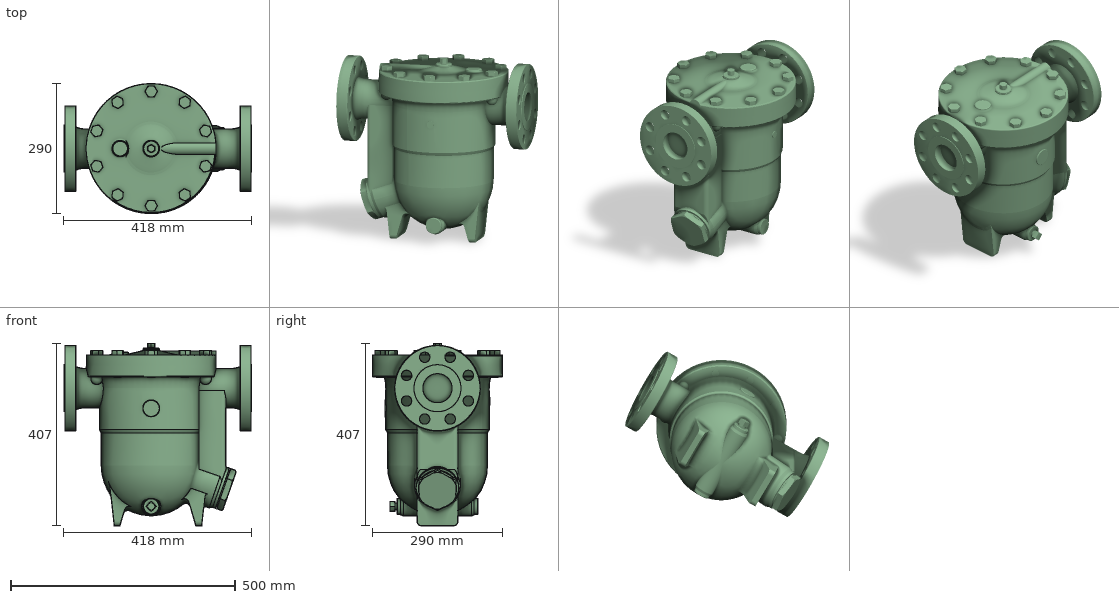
import cadquery as cq
import math


PIPE_AXIS_Z = 307.0
LOWER_RADIUS = 111.5
UPPER_RADIUS = 115.5
NECK_TOP_RADIUS = 119.0
DOME_CENTER_Z = 134.0
STEP_BOTTOM_Z = 207.5
STEP_TOP_Z = 214.5
VESSEL_SEAM_ANGLE = 60.0

COVER_RADIUS = 145.0
FLANGE_BOTTOM_Z = 332.0
SEAM_Z = 357.0
COVER_TOP_Z = 381.5
RIM_FILLET = 2.5

BOLT_COUNT = 10
BOLT_CIRCLE_RADIUS = 127.5
BOLT_DIAMETER = 16.0
BOLT_HEAD_FLATS = 24.0
BOLT_HEAD_HEIGHT = 9.5
BOLT_HEAD_CHAMFER_RADIUS = 12.8
BOLT_HEAD_CHAMFER_DROP = 1.0
BOLT_TIP_LENGTH = 1.5
BLIND_BOLT_ANGLES = (18, 162, 198, 342)
BLIND_POCKET_RADIUS = 13.0
BLIND_POCKET_STRAIGHT = 4.5

CONE_BASE_RADIUS = 59.7
CONE_BLEND_RADIUS = 53.8
CONE_TOP_RADIUS = 20.0
CONE_SLOPE = 0.243
VENT_BOSS_RADIUS = 18.6
VENT_BOSS_TOP_Z = 393.5
PLUG_FLANGE_DIAMETER = 36.0
VENT_FLANGE_TOP_Z = 396.0
VENT_FLANGE_CHAMFER = 1.2
PLUG_NECK_RADIUS = 7.5
PLUG_HEAD_FLATS = 16.0
VENT_HEAD_BOTTOM_Z = 398.0
OVERALL_TOP_Z = 407.0
RIDGE_RADIUS = 14.0
RIDGE_TOP_Z = 390.0

COVER_PAD_X = -69.2
COVER_PAD_BASE_RADIUS = 22.6
COVER_PAD_RADIUS = 18.2
COVER_PAD_TOP_RADIUS = 16.4
COVER_PAD_HEIGHT = 6.0
COVER_PAD_CHAMFER = 1.0

PIPE_RADIUS = 44.0
PIPE_FLARE_RADIUS = 48.0
PIPE_FLARE_LENGTH = 20.0
INLET_FACE_X = -193.9
OVERALL_LENGTH = 418.0
END_FLANGE_RADIUS = 191.0 / 2
END_FLANGE_THICKNESS = 25.0
END_FLANGE_CHAMFER = 1.2
RAISED_FACE_RADIUS = 104.8 / 2
RAISED_FACE_HEIGHT = 1.4
BORE_DIAMETER = 65.0
BORE_DEPTH = 20.0
FLANGE_HOLE_COUNT = 8
FLANGE_HOLE_DIAMETER = 23.0
FLANGE_HOLE_CIRCLE_RADIUS = 74.5

BLOCK_HALF_WIDTH = 45.5
BLOCK_INNER_X = 106.2
BLOCK_OUTER_X = 166.5
BLOCK_TOP_Z = 302.0
BLOCK_CORNER_RADIUS = 9.0

PLUG_TILT = 19.3
PLUG_END_X = 174.8
PLUG_END_Z = 78.2
SEAT_BOSS_RADIUS = 51.0
SEAT_BOSS_LENGTH = 90.0
SEAT_BOSS_CHAMFER_LENGTH = 7.0
SEAT_ROOT_FILLET = 4.0
SEAT_ROOT_SAMPLES = (0.2, 0.5, 0.8)
SEAT_ROOT_TOLERANCE = 0.05
SEAT_GASKET_RADIUS = 47.5
SEAT_GASKET_LENGTH = 6.5
SEAT_NECK_RADIUS = 42.5
SEAT_NECK_LENGTH = 3.0
HEX_CORNER_DIAMETER = 95.0
HEX_THICKNESS = 14.0
HEX_CHAMFER_RADIUS = 43.0
HEX_CHAMFER_LENGTH = 2.5

LEFT_FOOT_X = (-82.5, -69.7)
RIGHT_FOOT_X = (112.7, 99.4)
FOOT_OUTER_SLOPE = 0.11
FOOT_INNER_SLOPE = 0.29
FOOT_TOP_Z = 100.0
FOOT_CORNER_RADIUS = 10.0
FOOT_OUTER_FILLET = 18.0
FOOT_INNER_FILLET = 10.0

DRAIN_AXIS_Z = 43.5
DRAIN_BOSS_RADIUS = 21.4
DRAIN_BOSS_END_Y = 82.0
DRAIN_BOSS_CHAMFER_LENGTH = 6.0
DRAIN_BOSS_CHAMFER_DEPTH = 2.5
DRAIN_PLUG_FLANGE_Y = 90.0
DRAIN_FLANGE_CHAMFER = 1.0
DRAIN_HEAD_START_Y = 94.7
DRAIN_HEAD_END_Y = 106.0

FRONT_PAD_DIAMETER = 37.5
FRONT_PAD_Z = 262.0
FRONT_PAD_CHAMFER = 0.7
BACK_PAD_DIAMETER = 16.0
BACK_PAD_Z = 278.0
PAD_FACE_Y = 117.3


def cylinder(radius, start, length, direction):
    """Solid cylinder from a start point along a direction."""
    solid = cq.Solid.makeCylinder(radius, length, cq.Vector(*start), cq.Vector(*direction))
    return cq.Workplane(obj=solid)


def make_vessel():
    """Stepped cylinder with a hemispherical bottom and a neck flared up to the flange."""
    neck_rise = NECK_TOP_RADIUS - UPPER_RADIUS
    dome_side = LOWER_RADIUS * math.sqrt(0.5)
    vessel = (
        cq.Workplane("XZ")
        .moveTo(0, DOME_CENTER_Z - LOWER_RADIUS)
        .threePointArc((dome_side, DOME_CENTER_Z - dome_side), (LOWER_RADIUS, DOME_CENTER_Z))
        .lineTo(LOWER_RADIUS, STEP_BOTTOM_Z)
        .lineTo(UPPER_RADIUS, STEP_TOP_Z)
        .lineTo(UPPER_RADIUS, PIPE_AXIS_Z)
        .threePointArc(
            (UPPER_RADIUS + neck_rise / 4, (PIPE_AXIS_Z + FLANGE_BOTTOM_Z) / 2),
            (NECK_TOP_RADIUS, FLANGE_BOTTOM_Z),
        )
        .lineTo(0, FLANGE_BOTTOM_Z)
        .close()
        .revolve(360, (0, 0, 0), (0, 1, 0))
    )
    return vessel.rotate((0, 0, 0), (0, 0, 1), VESSEL_SEAM_ANGLE)


def make_cover():
    """Body flange and cover, kept as two faces that meet at the seam."""
    body_flange = (
        cq.Workplane("XY", origin=(0, 0, FLANGE_BOTTOM_Z))
        .circle(COVER_RADIUS)
        .extrude(SEAM_Z - FLANGE_BOTTOM_Z)
        .faces("<Z").edges().fillet(RIM_FILLET)
    )
    cover = (
        cq.Workplane("XY", origin=(0, 0, SEAM_Z))
        .circle(COVER_RADIUS)
        .extrude(COVER_TOP_Z - SEAM_Z)
        .faces(">Z").edges().fillet(RIM_FILLET)
    )
    return body_flange.union(cover, clean=False)


def make_vent():
    """Shallow cone on the cover with the vent boss, plug flange and hexagon head."""
    blend_z = COVER_TOP_Z + CONE_SLOPE * (CONE_BASE_RADIUS - CONE_BLEND_RADIUS) / 2
    cone_top_z = blend_z + CONE_SLOPE * (CONE_BLEND_RADIUS - CONE_TOP_RADIUS)
    flange_radius = PLUG_FLANGE_DIAMETER / 2
    turned = (
        cq.Workplane("XZ")
        .moveTo(0, SEAM_Z)
        .lineTo(CONE_BASE_RADIUS, SEAM_Z)
        .lineTo(CONE_BASE_RADIUS, COVER_TOP_Z)
        .lineTo(CONE_BLEND_RADIUS, blend_z)
        .lineTo(CONE_TOP_RADIUS, cone_top_z)
        .lineTo(VENT_BOSS_RADIUS, cone_top_z)
        .lineTo(VENT_BOSS_RADIUS, VENT_BOSS_TOP_Z)
        .lineTo(flange_radius, VENT_BOSS_TOP_Z)
        .lineTo(flange_radius, VENT_FLANGE_TOP_Z - VENT_FLANGE_CHAMFER)
        .lineTo(flange_radius - VENT_FLANGE_CHAMFER, VENT_FLANGE_TOP_Z)
        .lineTo(PLUG_NECK_RADIUS, VENT_FLANGE_TOP_Z)
        .lineTo(PLUG_NECK_RADIUS, VENT_HEAD_BOTTOM_Z)
        .lineTo(0, VENT_HEAD_BOTTOM_Z)
        .close()
        .revolve(360, (0, 0, 0), (0, 1, 0))
    )
    head = (
        cq.Workplane("XY", origin=(0, 0, VENT_HEAD_BOTTOM_Z))
        .polygon(6, PLUG_HEAD_FLATS, circumscribed=True)
        .extrude(OVERALL_TOP_Z - VENT_HEAD_BOTTOM_Z)
    )
    return turned.union(head)


def make_cover_ridge():
    """Half-sunk horizontal cylinder from the vent boss to the cover rim."""
    axis_z = RIDGE_TOP_Z - RIDGE_RADIUS
    ridge = cylinder(RIDGE_RADIUS, (0, 0, axis_z), COVER_RADIUS, (1, 0, 0))
    return ridge.rotate((0, 0, axis_z), (1, 0, axis_z), 180)


def make_cover_pad():
    """Low round pad with a concave blend at its foot."""
    blend = COVER_PAD_BASE_RADIUS - COVER_PAD_RADIUS
    pad_top_z = COVER_TOP_Z + COVER_PAD_HEIGHT
    blend_inset = blend * (1 - math.sqrt(0.5))
    return (
        cq.Workplane("XZ", origin=(COVER_PAD_X, 0, 0))
        .moveTo(0, SEAM_Z)
        .lineTo(COVER_PAD_BASE_RADIUS, SEAM_Z)
        .lineTo(COVER_PAD_BASE_RADIUS, COVER_TOP_Z)
        .threePointArc(
            (COVER_PAD_RADIUS + blend_inset, COVER_TOP_Z + blend_inset),
            (COVER_PAD_RADIUS, COVER_TOP_Z + blend),
        )
        .lineTo(COVER_PAD_RADIUS, pad_top_z - COVER_PAD_CHAMFER)
        .lineTo(COVER_PAD_TOP_RADIUS, pad_top_z)
        .lineTo(0, pad_top_z)
        .close()
        .revolve(360, (0, 0, 0), (0, 1, 0))
    )


def make_bolt():
    """Bolt on the +X side: chamfered hexagon head and a tip below the flange."""
    head_top_z = COVER_TOP_Z + BOLT_HEAD_HEIGHT
    head = (
        cq.Workplane("XY", origin=(BOLT_CIRCLE_RADIUS, 0, COVER_TOP_Z))
        .polygon(6, BOLT_HEAD_FLATS, circumscribed=True)
        .extrude(BOLT_HEAD_HEIGHT)
    )
    corner_radius = BOLT_HEAD_FLATS / math.sqrt(3)
    envelope = (
        cq.Workplane("XY", origin=(BOLT_CIRCLE_RADIUS, 0, COVER_TOP_Z))
        .circle(corner_radius)
        .extrude(BOLT_HEAD_HEIGHT)
        .faces(">Z").edges()
        .chamfer(BOLT_HEAD_CHAMFER_DROP, corner_radius - BOLT_HEAD_CHAMFER_RADIUS)
    )
    tip = cylinder(
        BOLT_DIAMETER / 2,
        (BOLT_CIRCLE_RADIUS, 0, FLANGE_BOTTOM_Z - BOLT_TIP_LENGTH),
        head_top_z - FLANGE_BOTTOM_Z,
        (0, 0, 1),
    )
    return head.intersect(envelope).union(tip)


def make_blind_pocket():
    """Round-bottomed boss that closes a bolt hole next to the pipe."""
    center_z = FLANGE_BOTTOM_Z - BLIND_POCKET_STRAIGHT
    ball = cq.Workplane("XY", origin=(BOLT_CIRCLE_RADIUS, 0, center_z)).sphere(BLIND_POCKET_RADIUS)
    stem = cylinder(
        BLIND_POCKET_RADIUS,
        (BOLT_CIRCLE_RADIUS, 0, center_z),
        SEAM_Z - center_z,
        (0, 0, 1),
    )
    return ball.union(stem)


def make_pipe_end(face_x):
    """Pipe from the vessel axis to a drilled end flange whose raised face is at face_x."""
    length = abs(face_x)
    flange_front = length - RAISED_FACE_HEIGHT
    flange_back = flange_front - END_FLANGE_THICKNESS
    flare_start = flange_back - PIPE_FLARE_LENGTH
    flare_rise = PIPE_FLARE_RADIUS - PIPE_RADIUS
    pipe = (
        cq.Workplane("XZ")
        .lineTo(0, PIPE_RADIUS)
        .lineTo(flare_start, PIPE_RADIUS)
        .threePointArc(
            (flare_start + PIPE_FLARE_LENGTH / 2, PIPE_RADIUS + flare_rise / 4),
            (flange_back, PIPE_FLARE_RADIUS),
        )
        .lineTo(flange_back, END_FLANGE_RADIUS - END_FLANGE_CHAMFER)
        .lineTo(flange_back + END_FLANGE_CHAMFER, END_FLANGE_RADIUS)
        .lineTo(flange_front, END_FLANGE_RADIUS)
        .lineTo(flange_front, RAISED_FACE_RADIUS)
        .lineTo(length, RAISED_FACE_RADIUS)
        .lineTo(length, 0)
        .close()
        .revolve(360, (0, 0, 0), (1, 0, 0))
    )
    holes = (
        cq.Workplane("YZ", origin=(flange_back, 0, 0))
        .polarArray(FLANGE_HOLE_CIRCLE_RADIUS, 180 / FLANGE_HOLE_COUNT, 360, FLANGE_HOLE_COUNT)
        .circle(FLANGE_HOLE_DIAMETER / 2)
        .extrude(END_FLANGE_THICKNESS)
    )
    pipe = pipe.cut(holes)
    if face_x < 0:
        pipe = pipe.mirror("YZ")
    return pipe.translate((0, 0, PIPE_AXIS_Z))


def make_bore(face_x):
    """Blind bore cut inward from a raised face."""
    inward = -math.copysign(1, face_x)
    return cylinder(BORE_DIAMETER / 2, (face_x, 0, PIPE_AXIS_Z), BORE_DEPTH, (inward, 0, 0))


def make_outlet_block():
    """Upright passage from the valve seat boss to the outlet pipe."""
    tilt = math.radians(PLUG_TILT)
    setback = HEX_THICKNESS + SEAT_NECK_LENGTH + SEAT_GASKET_LENGTH
    seat_x = PLUG_END_X - setback * math.cos(tilt)
    seat_z = PLUG_END_Z + setback * math.sin(tilt)
    return (
        cq.Workplane("XZ", origin=(0, BLOCK_HALF_WIDTH, 0))
        .moveTo(BLOCK_INNER_X, BLOCK_TOP_Z)
        .lineTo(BLOCK_OUTER_X, BLOCK_TOP_Z)
        .lineTo(BLOCK_OUTER_X, seat_z + (BLOCK_OUTER_X - seat_x) / math.tan(tilt))
        .lineTo(seat_x, seat_z)
        .lineTo(BLOCK_INNER_X, seat_z + (seat_x - BLOCK_INNER_X) * math.tan(tilt))
        .close()
        .extrude(2 * BLOCK_HALF_WIDTH)
        .edges("|Z and >X").fillet(BLOCK_CORNER_RADIUS)
    )


def make_seat_plug():
    """Valve seat boss, gasket and hexagon plug, built along X and then tilted."""
    neck_start = -HEX_THICKNESS - SEAT_NECK_LENGTH
    gasket_start = neck_start - SEAT_GASKET_LENGTH
    boss_start = gasket_start - SEAT_BOSS_LENGTH
    boss = (
        cq.Workplane("XY")
        .moveTo(boss_start, 0)
        .lineTo(boss_start, SEAT_BOSS_RADIUS)
        .lineTo(gasket_start - SEAT_BOSS_CHAMFER_LENGTH, SEAT_BOSS_RADIUS)
        .lineTo(gasket_start, SEAT_GASKET_RADIUS)
        .lineTo(gasket_start, 0)
        .close()
        .revolve(360, (0, 0, 0), (1, 0, 0))
    )
    gasket = cylinder(SEAT_GASKET_RADIUS, (gasket_start, 0, 0), SEAT_GASKET_LENGTH, (1, 0, 0))
    neck = cylinder(SEAT_NECK_RADIUS, (neck_start, 0, 0), SEAT_NECK_LENGTH, (1, 0, 0))
    hexagon = (
        cq.Workplane("YZ", origin=(-HEX_THICKNESS, 0, 0))
        .transformed(rotate=(0, 0, 90))
        .polygon(6, HEX_CORNER_DIAMETER)
        .extrude(HEX_THICKNESS)
    )
    envelope = (
        cq.Workplane("YZ", origin=(-HEX_THICKNESS, 0, 0))
        .circle(HEX_CORNER_DIAMETER / 2)
        .extrude(HEX_THICKNESS)
        .faces(">X").edges()
        .chamfer(HEX_CHAMFER_LENGTH, HEX_CORNER_DIAMETER / 2 - HEX_CHAMFER_RADIUS)
    )
    plug = boss.union(gasket).union(neck).union(hexagon.intersect(envelope))
    return plug.rotate((0, 0, 0), (0, 1, 0), PLUG_TILT).translate((PLUG_END_X, 0, PLUG_END_Z))


def is_seat_boss_root(edge):
    """True for an edge that runs on the side of the seat boss, clear of its outer end."""
    tilt = math.radians(PLUG_TILT)
    gasket_start = -HEX_THICKNESS - SEAT_NECK_LENGTH - SEAT_GASKET_LENGTH
    for fraction in SEAT_ROOT_SAMPLES:
        point = edge.positionAt(fraction)
        along = (point.x - PLUG_END_X) * math.cos(tilt) - (point.z - PLUG_END_Z) * math.sin(tilt)
        across = (point.x - PLUG_END_X) * math.sin(tilt) + (point.z - PLUG_END_Z) * math.cos(tilt)
        on_side = abs(math.hypot(across, point.y) - SEAT_BOSS_RADIUS) < SEAT_ROOT_TOLERANCE
        if not on_side or along > gasket_start - SEAT_BOSS_CHAMFER_LENGTH - SEAT_ROOT_TOLERANCE:
            return False
    return edge.geomType() != "LINE"


def fillet_seat_boss(body):
    """Round the root of the seat boss where it leaves the dome and the foot."""
    roots = [edge for edge in body.edges().vals() if is_seat_boss_root(edge)]
    return body.newObject(roots).fillet(SEAT_ROOT_FILLET)


def make_foot(outer_x, inner_x):
    """Foot plate that widens upward from a sole between outer_x and inner_x."""
    side = math.copysign(1, outer_x)
    return (
        cq.Workplane("XZ", origin=(0, BLOCK_HALF_WIDTH, 0))
        .moveTo(outer_x, 0)
        .lineTo(outer_x + side * FOOT_OUTER_SLOPE * FOOT_TOP_Z, FOOT_TOP_Z)
        .lineTo(inner_x - side * FOOT_INNER_SLOPE * FOOT_TOP_Z, FOOT_TOP_Z)
        .lineTo(inner_x, 0)
        .close()
        .extrude(2 * BLOCK_HALF_WIDTH)
        .edges("|X and <Z").fillet(FOOT_CORNER_RADIUS)
    )


def dome_point(sole_x, lean):
    """Point at Y = 0 where a foot side, leaning in X per unit height, meets the dome."""
    a = 1 + lean**2
    b = sole_x * lean - DOME_CENTER_Z
    c = sole_x**2 + DOME_CENTER_Z**2 - LOWER_RADIUS**2
    z = (-b - math.sqrt(b**2 - a * c)) / a
    return (sole_x + lean * z, 0, z)


def fillet_foot(body, sole_x, lean, radius):
    """Round the edge where one side of a foot runs into the dome."""
    junction = cq.selectors.NearestToPointSelector(dome_point(sole_x, lean))
    return body.edges(junction).fillet(radius)


def make_drain():
    """Drain boss through the dome, plugged at both ends, with a square head in front."""
    flange_radius = PLUG_FLANGE_DIAMETER / 2
    back_half = (
        cq.Workplane("XY")
        .lineTo(DRAIN_BOSS_RADIUS, 0)
        .lineTo(DRAIN_BOSS_RADIUS, DRAIN_BOSS_END_Y - DRAIN_BOSS_CHAMFER_LENGTH)
        .lineTo(DRAIN_BOSS_RADIUS - DRAIN_BOSS_CHAMFER_DEPTH, DRAIN_BOSS_END_Y)
        .lineTo(flange_radius, DRAIN_BOSS_END_Y)
        .lineTo(flange_radius, DRAIN_PLUG_FLANGE_Y - DRAIN_FLANGE_CHAMFER)
        .lineTo(flange_radius - DRAIN_FLANGE_CHAMFER, DRAIN_PLUG_FLANGE_Y)
        .lineTo(0, DRAIN_PLUG_FLANGE_Y)
        .close()
        .revolve(360, (0, 0, 0), (0, 1, 0))
    )
    boss = back_half.union(back_half.mirror("XZ")).translate((0, 0, DRAIN_AXIS_Z))
    neck = cylinder(PLUG_HEAD_FLATS / 2, (0, 0, DRAIN_AXIS_Z), DRAIN_HEAD_START_Y, (0, -1, 0))
    head = (
        cq.Workplane("XZ", origin=(0, -DRAIN_HEAD_START_Y, DRAIN_AXIS_Z))
        .transformed(rotate=(0, 0, 45))
        .rect(PLUG_HEAD_FLATS, PLUG_HEAD_FLATS)
        .extrude(DRAIN_HEAD_END_Y - DRAIN_HEAD_START_Y)
    )
    return boss.union(neck).union(head)


def make_wall_pads():
    """Round pads that stand slightly proud of the upper vessel wall."""
    front = cylinder(FRONT_PAD_DIAMETER / 2, (0, 0, FRONT_PAD_Z), PAD_FACE_Y, (0, -1, 0))
    front = front.faces("<Y").chamfer(FRONT_PAD_CHAMFER)
    back = cylinder(BACK_PAD_DIAMETER / 2, (0, 0, BACK_PAD_Z), PAD_FACE_Y, (0, 1, 0))
    return front.union(back)


end_faces = (INLET_FACE_X, INLET_FACE_X + OVERALL_LENGTH)

body = make_vessel()
for outer_x, inner_x in (LEFT_FOOT_X, RIGHT_FOOT_X):
    body = body.union(make_foot(outer_x, inner_x), clean=False)
body = fillet_foot(body, LEFT_FOOT_X[0], -FOOT_OUTER_SLOPE, FOOT_OUTER_FILLET)
body = fillet_foot(body, LEFT_FOOT_X[1], FOOT_INNER_SLOPE, FOOT_INNER_FILLET)
body = fillet_foot(body, RIGHT_FOOT_X[1], -FOOT_INNER_SLOPE, FOOT_INNER_FILLET)

body = fillet_seat_boss(body.union(make_seat_plug(), clean=False))

attachments = [make_outlet_block(), make_drain(), make_wall_pads()]
attachments += [make_pipe_end(face_x) for face_x in end_faces]
attachments += [make_cover(), make_vent(), make_cover_ridge(), make_cover_pad()]
for index in range(BOLT_COUNT):
    attachments.append(make_bolt().rotate((0, 0, 0), (0, 0, 1), 90 + index * 360 / BOLT_COUNT))
for angle in BLIND_BOLT_ANGLES:
    attachments.append(make_blind_pocket().rotate((0, 0, 0), (0, 0, 1), angle))
for attachment in attachments:
    body = body.union(attachment, clean=False)
for face_x in end_faces:
    body = body.cut(make_bore(face_x), clean=False)

result = body